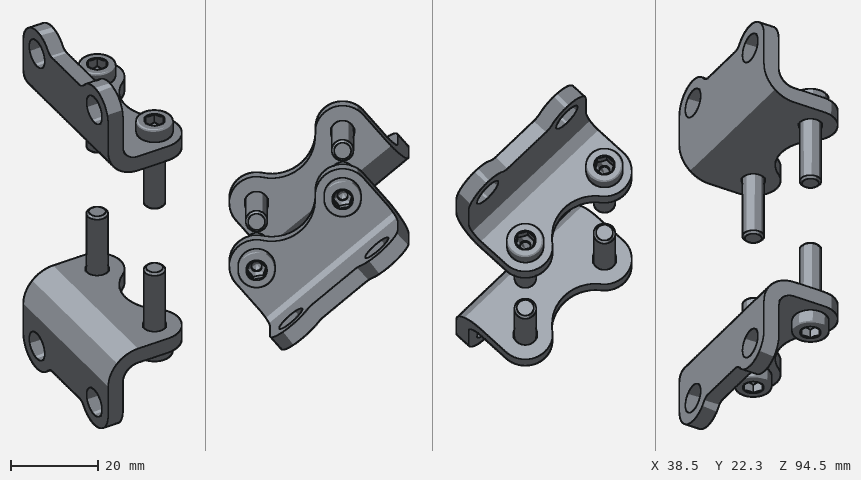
import cadquery as cq
import math

width = 38.5
leg_length = 22.3
thickness = 4.0
bend_inner_radius = 4.0
bend_outer_radius = bend_inner_radius + thickness
hole_spacing = 26.0
half_spacing = hole_spacing / 2
lobe_radius = (width - hole_spacing) / 2
hole_distance = leg_length - lobe_radius

bolt_hole_diameter = 5.5
mounting_hole_diameter = 7.0
saddle_radius = 10.0
waist_drop = 3.3
waist_fillet_radius = 2.5

shank_diameter = 5.0
shank_length = 20.0
shank_tip_chamfer = 0.6
head_diameter = 8.5
head_height = 3.6
head_edge_fillet = 0.5
socket_width = 4.1
socket_depth = 3.4
pilot_diameter = 2.5
pilot_depth = 4.2
floor_slope = math.tan(math.radians(45))
socket_mouth_diameter = 4.8
mouth_slope = math.tan(math.radians(30))

total_height = 94.5
bolted_leg_face = total_height / 2 - leg_length
bolt_seat = bolted_leg_face + thickness


def lobe_point(towards_x, towards_y):
    """Point of the right lobe's rim in the direction of a vector from the lobe centre."""
    reach = math.hypot(towards_x, towards_y)
    x = half_spacing + lobe_radius * towards_x / reach
    y = hole_distance + lobe_radius * towards_y / reach
    return x, y


def mirrored(point):
    return -point[0], point[1]


def lobed_outline(plane, lobe_end, hollow):
    """Leg outline with two lobes; `hollow` draws the edge between their inner ends."""
    lobe_middle = lobe_point(0, 1)
    outline = (
        cq.Workplane(plane)
        .moveTo(-width / 2, 0)
        .lineTo(width / 2, 0)
        .lineTo(width / 2, hole_distance)
        .threePointArc(lobe_middle, lobe_end)
    )
    outline = hollow(outline)
    return outline.threePointArc(mirrored(lobe_middle), (-width / 2, hole_distance)).close()


def bolted_leg_outline():
    """XY outline whose lobes run tangentially into one round saddle."""
    saddle_rise = math.sqrt((saddle_radius + lobe_radius) ** 2 - half_spacing**2)
    lobe_end = lobe_point(-half_spacing, saddle_rise)
    saddle_bottom = (0, hole_distance + saddle_rise - saddle_radius)

    def saddle(outline):
        return outline.threePointArc(saddle_bottom, mirrored(lobe_end))

    return lobed_outline("XY", lobe_end, saddle)


def mounting_leg_outline():
    """XZ outline whose lobes run through small fillets into a flat waist."""
    waist = leg_length - waist_drop
    fillet_rise = waist + waist_fillet_radius - hole_distance
    fillet_offset = math.sqrt((lobe_radius + waist_fillet_radius) ** 2 - fillet_rise**2)
    fillet_x = half_spacing - fillet_offset
    lobe_end = lobe_point(-fillet_offset, fillet_rise)
    waist_end = (fillet_x, waist)

    middle_angle = math.atan2(fillet_offset, fillet_rise) / 2
    fillet_middle = (
        fillet_x + waist_fillet_radius * math.sin(middle_angle),
        waist + waist_fillet_radius * (1 - math.cos(middle_angle)),
    )

    def waist_edge(outline):
        return (
            outline.threePointArc(fillet_middle, waist_end)
            .lineTo(*mirrored(waist_end))
            .threePointArc(mirrored(fillet_middle), mirrored(lobe_end))
        )

    return lobed_outline("XZ", lobe_end, waist_edge)


def hole_pair(plane, diameter):
    """Cutters for the two holes concentric with the lobes of a leg."""
    return (
        cq.Workplane(plane)
        .pushPoints([(-half_spacing, hole_distance), (half_spacing, hole_distance)])
        .circle(diameter / 2)
        .extrude(leg_length, both=True)
    )


def make_bracket():
    """Bracket with the bolted leg on Z = 0 and the mounting leg on Y = 0."""
    angle_profile = (
        cq.Workplane("YZ")
        .polyline([
            (0, 0),
            (leg_length, 0),
            (leg_length, thickness),
            (thickness, thickness),
            (thickness, leg_length),
            (0, leg_length),
        ])
        .close()
        .extrude(width / 2, both=True)
    )
    bent = (
        angle_profile.edges(cq.selectors.NearestToPointSelector((0, thickness, thickness)))
        .fillet(bend_inner_radius)
        .edges("<Y and <Z")
        .fillet(bend_outer_radius)
    )
    return (
        bent.intersect(bolted_leg_outline().extrude(leg_length))
        .intersect(mounting_leg_outline().extrude(-leg_length))
        .cut(hole_pair("XY", bolt_hole_diameter))
        .cut(hole_pair("XZ", mounting_hole_diameter))
    )


def turned_cutter(half_profile):
    """Solid of revolution about Z from a half profile of (radius, z) points."""
    return cq.Workplane("XZ").polyline(half_profile).close().revolve(360, (0, 0), (0, 1))


def make_socket():
    """Cutter for the hexagon socket, its conical mouth and the pilot hole."""
    corner_radius = socket_width / 2 / math.cos(math.pi / 6)
    pilot_radius = pilot_diameter / 2
    mouth_radius = socket_mouth_diameter / 2
    floor = head_height - socket_depth
    pilot_floor = head_height - pilot_depth

    hexagon = (
        cq.Workplane("XY")
        .polygon(6, 2 * corner_radius)
        .extrude(head_height)
        .rotate((0, 0, 0), (0, 0, 1), 90)
    )
    conical_end = turned_cutter([
        (0, floor),
        (pilot_radius, floor),
        (corner_radius, floor + (corner_radius - pilot_radius) * floor_slope),
        (corner_radius, head_height),
        (0, head_height),
    ])
    mouth = turned_cutter([
        (0, head_height),
        (mouth_radius, head_height),
        (0, head_height - mouth_radius * mouth_slope),
    ])
    pilot = turned_cutter([
        (0, head_height),
        (pilot_radius, head_height),
        (pilot_radius, pilot_floor),
        (0, pilot_floor - pilot_radius * floor_slope),
    ])
    return hexagon.intersect(conical_end).union(mouth).union(pilot)


def make_bolt():
    """Bolt along Z with the underside of its head at Z = 0 and the head upwards."""
    shank = (
        cq.Workplane("XY")
        .circle(shank_diameter / 2)
        .extrude(-shank_length)
        .faces("<Z")
        .chamfer(shank_tip_chamfer)
    )
    head = (
        cq.Workplane("XY")
        .circle(head_diameter / 2)
        .extrude(head_height)
        .faces("|Z")
        .edges()
        .fillet(head_edge_fillet)
    )
    return head.union(shank).cut(make_socket())


leg_face_y = -leg_length / 2
upper_bracket = make_bracket().translate((0, leg_face_y, bolted_leg_face))
bolt = make_bolt()
upper_bolts = [
    bolt.translate((x, leg_face_y + hole_distance, bolt_seat)) for x in (-half_spacing, half_spacing)
]

upper_half = [upper_bracket, *upper_bolts]
lower_half = [body.mirror("XY") for body in upper_half]

result = cq.Compound.makeCompound([body.val() for body in upper_half + lower_half])